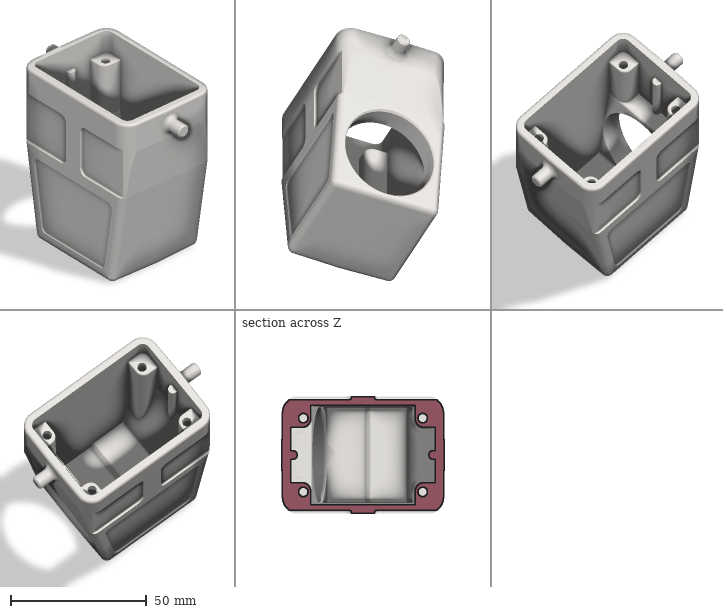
import cadquery as cq
import math

LENGTH = 75.0
WIDTH = 43.0
HEIGHT = 72.1
HALF_WIDTH = WIDTH / 2

TOP_HALF_X = 30.0
WAIST_HALF_X = 28.05
BASE_HALF_X = 21.7
COLLAR_Z = 59.85
WAIST_Z = 40.2
MOULD_DRAFT = 1.0
COLLAR_CORNER_R = 6.1
HOOD_CORNER_R = 2.55
RIM_R = 1.1
SIDE_SLOPE = (WAIST_HALF_X - BASE_HALF_X) / WAIST_Z

MOUTH_HALF_X = 26.7
MOUTH_HALF_Y = 18.45
MOUTH_CORNER_R = 2.85
CAVITY_DRAFT = 0.8
LOW_FLOOR_Z = 4.4
HIGH_FLOOR_Z = 6.2
FLOOR_STEP_X = (0.7, 2.6)
SECTION_R = 0.9
LEDGE_Z = 40.9
LEDGE_X = -18.9
ENTRY_WALL_FOOT_X = -13.2
REAR_WALL_FOOT_X = 16.1
REAR_WALL_TOP = (26.6, 42.3)

POST_TOP_Z = 62.6
POST_X = 18.6
POST_Y = 9.5
POST_R = 3.4
POST_DRAFT = 0.5
POST_EDGE_R = 0.5
SCREW_X = 22.0
SCREW_Y = 13.6
SCREW_R = 1.7
SCREW_END_R = 1.4
SCREW_DEPTH = 15.0
RIB_TOP_Z = 62.25
RIB_R = 1.7
RIB_X = 25.9

ENTRY_R = 17.7
ENTRY_CHAMFER = 0.75
ENTRY_Z = 20.0
ENTRY_REACH = 18.0

PIN_R = 2.55
PIN_Z = 65.6
PIN_FLARE_R = 2.1
PIN_CHAMFER = 0.5

GRIP_INNER_X = 3.9
GRIP_Z = (40.05, 61.3)
GRIP_DEPTH = 1.01
GRIP_CORNER_R = 3.0
BADGE_Z = (4.95, 35.4)
BADGE_TOP_HALF_X = 22.2
BADGE_DEPTH = 0.6
BADGE_CORNER_R = 2.6
PANEL_FLOOR_R = 0.5

MARGIN = 15.0


def drafted_half(points):
    """Extrude an XZ outline from Y = 0 to the -Y face, narrowing with the mould draft."""
    return cq.Workplane("XZ").polyline(points).close().extrude(HALF_WIDTH, taper=MOULD_DRAFT)


def symmetric(right_side):
    """Close an outline by mirroring its right-hand points about X = 0."""
    return right_side + [(-x, z) for x, z in reversed(right_side)]


def box_between(low, high):
    """Axis-aligned box from its lowest to its highest corner."""
    size = [b - a for a, b in zip(low, high)]
    return cq.Workplane("XY").box(*size, centered=False).translate(low)


def mirrored_pair(solid, plane):
    """The solid joined with its mirror image."""
    return solid.union(solid.mirror(plane))


def upper_shell():
    """Round-cornered collar whose ends lean in between the collar and the waist."""
    above = HEIGHT + MARGIN
    block = drafted_half(symmetric([(TOP_HALF_X, 0), (TOP_HALF_X, above)]))
    block = block.faces("<Y").edges("|Z").fillet(COLLAR_CORNER_R)
    low_half_x = WAIST_HALF_X - (TOP_HALF_X - WAIST_HALF_X) * (WAIST_Z / (COLLAR_Z - WAIST_Z))
    lean = drafted_half(
        symmetric([(low_half_x, 0), (TOP_HALF_X, COLLAR_Z), (TOP_HALF_X, above)])
    )
    band = box_between((-LENGTH, -WIDTH, WAIST_Z), (LENGTH, WIDTH, HEIGHT))
    half = block.intersect(lean).intersect(band)
    return mirrored_pair(half.faces(">Z").edges("not >Y").fillet(RIM_R), "XZ")


def lower_hood():
    """Tapered hood with rounded slanting corners and a rounded closed end."""
    above = WAIST_Z + MARGIN
    top_half_x = BASE_HALF_X + SIDE_SLOPE * above
    hood = drafted_half(symmetric([(BASE_HALF_X, 0), (top_half_x, above)]))
    outer_edges = cq.selectors.BoxSelector(
        (-LENGTH, -WIDTH, -0.75), (LENGTH, -0.75, above - 0.75)
    )
    hood = hood.edges(outer_edges).fillet(HOOD_CORNER_R)
    half = hood.intersect(box_between((-LENGTH, -WIDTH, -MARGIN), (LENGTH, WIDTH, WAIST_Z)))
    return mirrored_pair(half, "XZ")


def locking_pin():
    """Pin on the +X end, flared where it meets the collar."""
    root = MOUTH_HALF_X + 0.75
    wall = TOP_HALF_X - MOULD_DRAFT / 13.33
    profile = (
        cq.Workplane("XZ")
        .moveTo(root, 0)
        .lineTo(root, PIN_R + PIN_FLARE_R)
        .lineTo(wall, PIN_R + PIN_FLARE_R)
        .radiusArc((wall + PIN_FLARE_R, PIN_R), -PIN_FLARE_R)
        .lineTo(LENGTH / 2 - PIN_CHAMFER, PIN_R)
        .lineTo(LENGTH / 2, PIN_R - PIN_CHAMFER)
        .lineTo(LENGTH / 2, 0)
        .close()
    )
    return profile.revolve(360, (0, 0, 0), (1, 0, 0)).translate((0, 0, PIN_Z))


def cavity():
    """Hollow below the mouth, with leaning end walls and a stepped floor."""
    mouth = (
        cq.Workplane("XY")
        .workplane(offset=HEIGHT)
        .rect(2 * MOUTH_HALF_X, 2 * MOUTH_HALF_Y)
        .extrude(-HEIGHT, taper=CAVITY_DRAFT)
    )
    mouth = mouth.edges("not(#Z)").edges("not(|X or |Y)").fillet(MOUTH_CORNER_R)
    section = [
        (-LENGTH, HEIGHT),
        (-LENGTH, LEDGE_Z),
        (LEDGE_X, LEDGE_Z),
        (ENTRY_WALL_FOOT_X, LOW_FLOOR_Z),
        (FLOOR_STEP_X[0], LOW_FLOOR_Z),
        (FLOOR_STEP_X[1], HIGH_FLOOR_Z),
        (REAR_WALL_FOOT_X, HIGH_FLOOR_Z),
        REAR_WALL_TOP,
        (LENGTH, REAR_WALL_TOP[1]),
        (LENGTH, HEIGHT),
    ]
    profile = cq.Workplane("XZ").polyline(section).close().extrude(WIDTH, both=True)
    rounded_zone = cq.selectors.BoxSelector(
        (LEDGE_X - 0.75, -LENGTH, 0), (REAR_WALL_FOOT_X + 0.75, LENGTH, LEDGE_Z + 0.75)
    )
    profile = profile.edges("|Y").edges(rounded_zone).fillet(SECTION_R)
    return mouth.intersect(profile)


def screw_post():
    """Corner post in the +X, +Y corner, drafted towards its top."""
    outer_x = TOP_HALF_X + MARGIN
    outer_y = HALF_WIDTH + MARGIN
    post = (
        cq.Workplane("XY")
        .moveTo((POST_X + outer_x) / 2, (POST_Y + outer_y) / 2)
        .rect(outer_x - POST_X, outer_y - POST_Y)
        .extrude(POST_TOP_Z, taper=POST_DRAFT)
    )
    inner_corner = cq.selectors.NearestToPointSelector((POST_X, POST_Y, POST_TOP_Z / 2))
    return post.edges(inner_corner).fillet(POST_R).faces(">Z").edges().fillet(POST_EDGE_R)


def guide_rib():
    """Half-round rib at the middle of the +X wall."""
    return cq.Workplane("XY").center(RIB_X, 0).circle(RIB_R).extrude(RIB_TOP_Z)


def screw_hole():
    """Blind hole in the +X, +Y post, narrowing slightly with depth."""
    mouth = cq.Vector(SCREW_X, SCREW_Y, POST_TOP_Z)
    cone = cq.Solid.makeCone(SCREW_R, SCREW_END_R, SCREW_DEPTH, mouth, cq.Vector(0, 0, -1))
    return cq.Workplane(cone)


def cable_entry():
    """Round opening square to the -X side of the hood, chamfered outside."""
    inward = cq.Vector(1, 0, SIDE_SLOPE).normalized()
    centre = cq.Vector(-BASE_HALF_X - SIDE_SLOPE * ENTRY_Z, 0, ENTRY_Z)
    outer_r = ENTRY_R + ENTRY_CHAMFER
    bore = cq.Solid.makeCylinder(ENTRY_R, ENTRY_REACH, centre, inward)
    chamfer = cq.Solid.makeCone(outer_r, ENTRY_R, ENTRY_CHAMFER, centre, inward)
    clearance = cq.Solid.makeCylinder(outer_r, ENTRY_CHAMFER, centre, -inward)
    return cq.Workplane(bore).union(cq.Workplane(chamfer)).union(cq.Workplane(clearance))


def face_recess(outline, depth, corner_r):
    """Shallow -Y face recess with rounded corners and a rounded floor edge."""
    recess = (
        cq.Workplane("XZ", origin=(0, -HALF_WIDTH + depth, 0))
        .polyline(outline)
        .close()
        .extrude(depth + MARGIN)
    )
    return recess.edges("|Y").fillet(corner_r).faces(">Y").edges().fillet(PANEL_FLOOR_R)


def grip_recess():
    """Upper recess on the -Y face, running out through the +X corner."""
    outer_x = TOP_HALF_X + MARGIN
    low_z, high_z = GRIP_Z
    outline = [(GRIP_INNER_X, low_z), (outer_x, low_z), (outer_x, high_z), (GRIP_INNER_X, high_z)]
    return face_recess(outline, GRIP_DEPTH, GRIP_CORNER_R)


def badge_recess():
    """Tapered recess on the -Y face of the hood, sides parallel to the hood."""
    low_z, high_z = BADGE_Z
    low_half_x = BADGE_TOP_HALF_X - SIDE_SLOPE * (high_z - low_z)
    outline = symmetric([(low_half_x, low_z), (BADGE_TOP_HALF_X, high_z)])
    return face_recess(outline, BADGE_DEPTH, BADGE_CORNER_R)


posts = mirrored_pair(mirrored_pair(screw_post(), "XZ"), "YZ")
ribs = mirrored_pair(guide_rib(), "YZ")
screw_holes = mirrored_pair(mirrored_pair(screw_hole(), "XZ"), "YZ")
grips = mirrored_pair(mirrored_pair(grip_recess(), "XZ"), "YZ")
badges = mirrored_pair(badge_recess(), "XZ")

hollow = cavity().cut(posts).cut(ribs)
shell = upper_shell().union(lower_hood())
shell = shell.union(mirrored_pair(locking_pin(), "YZ"))
result = shell.cut(hollow).cut(screw_holes).cut(cable_entry()).cut(grips).cut(badges)